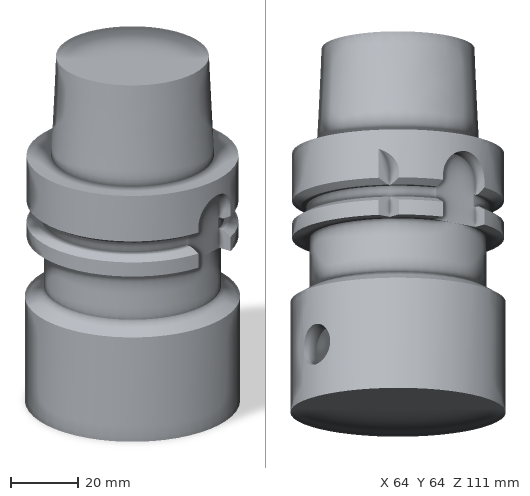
import cadquery as cq

total_height = 111.0
base_radius = 64.0 / 2
base_height = 33.6
neck_radius = 52.6 / 2
shoulder_top = 37.0

flange_radius = 63.0 / 2
flange_bottom = 53.1
flange_top = 79.0
groove_radius = 27.3
groove_bottom = 59.2
groove_top = 62.8
groove_chamfer_width = 2.7
groove_chamfer_height = 1.5

shank_radius = 48.4 / 2
shank_land_height = 2.1
shank_tip_radius = 22.8

slot_radius = 8.0
slot_arc_height = 66.0
drive_slot_floor = neck_radius
side_notch_floor = 20.1
side_notch_center_y = 28.0

hole_diameter = 12.3
hole_height = 16.0
hole_depth = 5.5


def make_body():
    chamfer_radius = flange_radius - groove_chamfer_width
    return (
        cq.Workplane("XZ")
        .moveTo(0, 0)
        .lineTo(base_radius, 0)
        .lineTo(base_radius, base_height)
        .lineTo(neck_radius, shoulder_top)
        .lineTo(neck_radius, flange_bottom)
        .lineTo(flange_radius, flange_bottom)
        .lineTo(flange_radius, groove_bottom - groove_chamfer_height)
        .lineTo(chamfer_radius, groove_bottom)
        .lineTo(groove_radius, groove_bottom)
        .lineTo(groove_radius, groove_top)
        .lineTo(chamfer_radius, groove_top)
        .lineTo(flange_radius, groove_top + groove_chamfer_height)
        .lineTo(flange_radius, flange_top)
        .lineTo(shank_radius, flange_top)
        .lineTo(shank_radius, flange_top + shank_land_height)
        .lineTo(shank_tip_radius, total_height)
        .lineTo(0, total_height)
        .close()
        .revolve(360, (0, 0, 0), (0, 1, 0))
    )


def slot_cutter(center_y, floor_distance, side):
    """Slot running along X from its floor outward; side is +1 or -1."""
    length = base_radius - floor_distance
    return (
        cq.Workplane("YZ", origin=(side * floor_distance, center_y, 0))
        .moveTo(-slot_radius, flange_bottom)
        .lineTo(-slot_radius, slot_arc_height)
        .threePointArc((0, slot_arc_height + slot_radius), (slot_radius, slot_arc_height))
        .lineTo(slot_radius, flange_bottom)
        .close()
        .extrude(side * length)
    )


def radial_hole_cutter():
    return (
        cq.Workplane("XZ", origin=(0, base_radius, hole_height))
        .circle(hole_diameter / 2)
        .extrude(hole_depth)
    )


result = make_body()
for side in (-1, 1):
    result = result.cut(slot_cutter(0, drive_slot_floor, side))
result = result.cut(slot_cutter(side_notch_center_y, side_notch_floor, -1))
result = result.cut(radial_hole_cutter())